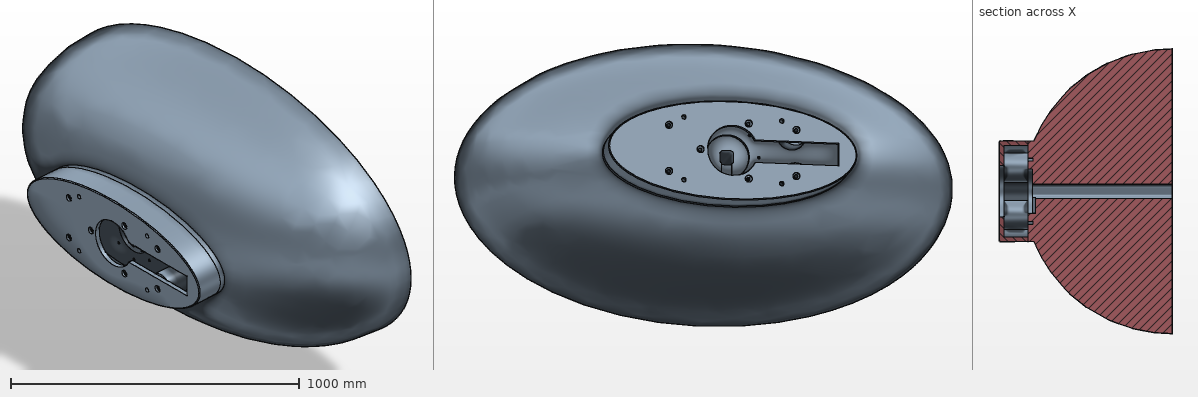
import cadquery as cq
import math

LENGTH = 1740.0
WIDTH = 988.0
TOTAL_DEPTH = 600.0

FOOT_HEIGHT = 21.0
LONG_SIDE_POWER = 2.8
SHORT_SIDE_POWER = 2.0
BOWL_SECTIONS = 9

DRAIN_RECESS_RADIUS = 77.0
DRAIN_RECESS_DEPTH = 15.0
DRAIN_HOLE_SIZE = 49.0
DRAIN_HOLE_CORNER_RADIUS = 14.0
DRAIN_NOTCH_WIDTH = 37.0
DRAIN_NOTCH_DEPTH = 10.0
FOOT_HOLE_COUNT = 8
FOOT_HOLE_CIRCLE_RADIUS = 110.0
FOOT_HOLE_RADIUS = 4.4
FOOT_HOLE_DEPTH = 17.0

BASE_LENGTH = 875.0
BASE_WIDTH = 351.0
BASE_HEIGHT = 100.0
BASE_WALL = 17.0
PLATE_THICKNESS = 17.0
EDGE_CHAMFER = 3.0
OPENING_RADIUS = 89.0
SLOT_WIDTH = 80.0
SLOT_END_X = 374.0

HEAD_RADIUS = 12.0
HEAD_DEPTH = 9.0
SHANK_RADIUS = 6.1

COLUMN_RADIUS = 50.0
COLUMN_X = 225.0
COLUMN_Z = 82.0

PLATE_SCREW_COUNT = 3
PLATE_SCREW_CIRCLE_RADIUS = 113.0
PLATE_SCREW_START_ANGLE = 60

PLAIN_HOLE_RADIUS = 7.8
PLAIN_HOLE_X = 172.0
PLAIN_HOLE_Z = 111.0

BASE_BOTTOM_Y = -TOTAL_DEPTH
FOOT_BOTTOM_Y = BASE_BOTTOM_Y + BASE_HEIGHT
BOWL_DEPTH = TOTAL_DEPTH - BASE_HEIGHT - FOOT_HEIGHT
PLATE_TOP_Y = BASE_BOTTOM_Y + PLATE_THICKNESS


def plane_at(y):
    """Workplane at level y: local axes are -X and +Z, extrusion goes toward +Y."""
    return cq.Workplane(cq.Plane(origin=(0, y, 0), xDir=(-1, 0, 0), normal=(0, 1, 0)))


def elliptical_disc(length, width, y, height):
    return plane_at(y).ellipse(length / 2, width / 2).extrude(height)


def cylinders(radius, points, y, height):
    """Round bars along +Y, one at each (x, z) point."""
    mirrored = [(-x, z) for x, z in points]
    return plane_at(y).pushPoints(mirrored).circle(radius).extrude(height)


def polar_points(count, radius, start_angle):
    angles = [math.radians(start_angle + 360 * i / count) for i in range(count)]
    return [(radius * math.cos(a), radius * math.sin(a)) for a in angles]


def four_corners(x, z):
    return [(x, z), (-x, z), (-x, -z), (x, -z)]


def bowl_half_axis(depth, rim_size, foot_size, power):
    """Half size of the bowl at a depth: a rounded profile from the rim size to the foot size."""
    closing = 1 - (foot_size / rim_size) ** 2
    return rim_size / 2 * math.sqrt(1 - closing * (depth / BOWL_DEPTH) ** power)


def bowl_section(depth):
    """Elliptical outline of the bowl at a depth below the rim."""
    half_length = bowl_half_axis(depth, LENGTH, BASE_LENGTH, LONG_SIDE_POWER)
    half_width = bowl_half_axis(depth, WIDTH, BASE_WIDTH, SHORT_SIDE_POWER)
    return plane_at(-depth).ellipse(half_length, half_width).val()


def make_bowl():
    """Sections crowd toward the bottom, where the outline closes fastest."""
    steps = [i / (BOWL_SECTIONS - 1) for i in range(BOWL_SECTIONS)]
    depths = [BOWL_DEPTH * math.sin(step * math.pi / 2) for step in steps]
    sections = [bowl_section(depth) for depth in depths]
    return cq.Workplane(cq.Solid.makeLoft(sections))


def make_drain():
    """Material removed for the drain: round recess, through hole and notch."""
    center = [(0, 0)]
    recess = cylinders(DRAIN_RECESS_RADIUS, center, FOOT_BOTTOM_Y, DRAIN_RECESS_DEPTH)
    hole = plane_at(FOOT_BOTTOM_Y).rect(DRAIN_HOLE_SIZE, DRAIN_HOLE_SIZE).extrude(-FOOT_BOTTOM_Y)
    hole = hole.edges("|Y").fillet(DRAIN_HOLE_CORNER_RADIUS)
    notch = (
        plane_at(FOOT_BOTTOM_Y + DRAIN_RECESS_DEPTH)
        .center(0, -DRAIN_RECESS_RADIUS / 2)
        .rect(DRAIN_NOTCH_WIDTH, DRAIN_RECESS_RADIUS)
        .extrude(DRAIN_NOTCH_DEPTH)
    )
    notch = notch.intersect(
        cylinders(DRAIN_RECESS_RADIUS, center, FOOT_BOTTOM_Y, DRAIN_RECESS_DEPTH + DRAIN_NOTCH_DEPTH)
    )
    return recess.union(hole).union(notch)


def make_tub():
    foot = elliptical_disc(BASE_LENGTH, BASE_WIDTH, FOOT_BOTTOM_Y, FOOT_HEIGHT)
    foot_holes = polar_points(FOOT_HOLE_COUNT, FOOT_HOLE_CIRCLE_RADIUS, start_angle=0)
    return (
        make_bowl()
        .union(foot)
        .cut(make_drain())
        .cut(cylinders(FOOT_HOLE_RADIUS, foot_holes, FOOT_BOTTOM_Y, FOOT_HOLE_DEPTH))
    )


def stepped_holes(points):
    """Head recess at the underside and a shank through the full base height."""
    heads = cylinders(HEAD_RADIUS, points, BASE_BOTTOM_Y, HEAD_DEPTH)
    return heads.union(cylinders(SHANK_RADIUS, points, BASE_BOTTOM_Y, BASE_HEIGHT))


def make_slot():
    return (
        plane_at(BASE_BOTTOM_Y)
        .center(-SLOT_END_X / 2, 0)
        .rect(SLOT_END_X, SLOT_WIDTH)
        .extrude(PLATE_THICKNESS)
    )


def make_base():
    """Hollow elliptical base: a plate underneath, a wall around it and four screw columns."""
    block = elliptical_disc(BASE_LENGTH, BASE_WIDTH, BASE_BOTTOM_Y, BASE_HEIGHT)
    block = block.faces("<Y").chamfer(EDGE_CHAMFER)
    cavity = elliptical_disc(
        BASE_LENGTH - 2 * BASE_WALL,
        BASE_WIDTH - 2 * BASE_WALL,
        PLATE_TOP_Y,
        BASE_HEIGHT - PLATE_THICKNESS,
    )
    column_points = four_corners(COLUMN_X, COLUMN_Z)
    columns = cylinders(COLUMN_RADIUS, column_points, PLATE_TOP_Y, BASE_HEIGHT - PLATE_THICKNESS)
    opening = cylinders(OPENING_RADIUS, [(0, 0)], BASE_BOTTOM_Y, PLATE_THICKNESS)
    plate_screws = polar_points(PLATE_SCREW_COUNT, PLATE_SCREW_CIRCLE_RADIUS, PLATE_SCREW_START_ANGLE)
    plain_points = four_corners(PLAIN_HOLE_X, PLAIN_HOLE_Z)
    return (
        block.cut(cavity)
        .cut(opening)
        .cut(make_slot())
        .union(columns)
        .cut(stepped_holes(column_points))
        .cut(stepped_holes(plate_screws))
        .cut(cylinders(PLAIN_HOLE_RADIUS, plain_points, BASE_BOTTOM_Y, PLATE_THICKNESS))
    )


tub = make_tub()
base = make_base()
result = cq.Compound.makeCompound([tub.val(), base.val()])